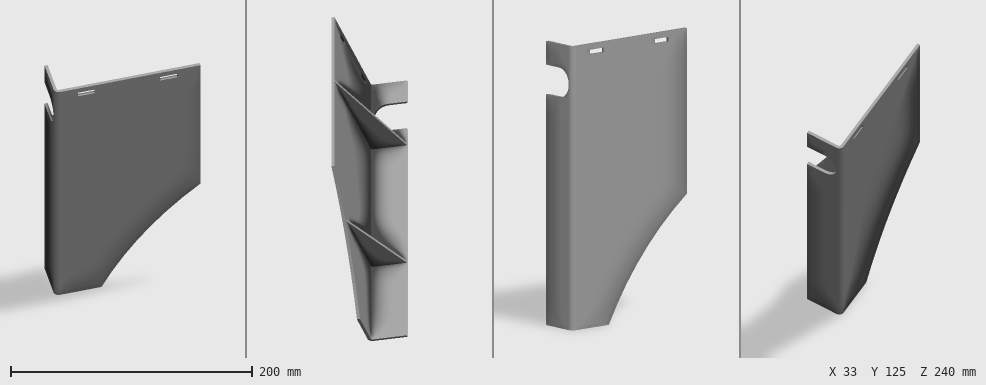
import cadquery as cq

width = 33.0
depth = 125.0
height = 240.0

thickness = 2.6
inner_bend_radius = 1.7
outer_bend_radius = thickness + inner_bend_radius
plate_face = width - thickness

bottom_length = 40.0
rear_edge_bottom = 99.8
curve_mid_y = 87.0
curve_mid_z = 66.0

notch_radius = 12.5
notch_center_z = 207.5
notch_end_x = width - outer_bend_radius

slot_length = 15.0
slot_height = 4.0
slot_drop = 7.0
slot_centers_y = (27.0, 98.0)

rib_thickness = 2.0
upper_rib_z = 180.0
upper_rib_end_y = depth
lower_rib_z = 69.4
lower_rib_end_y = 85.2


def make_bent_sheet():
    """L-shaped section with a rounded bend, extruded over the full height."""
    section = (
        cq.Workplane("XY")
        .lineTo(width - outer_bend_radius, 0)
        .radiusArc((width, outer_bend_radius), -outer_bend_radius)
        .lineTo(width, depth)
        .lineTo(plate_face, depth)
        .lineTo(plate_face, outer_bend_radius)
        .radiusArc((width - outer_bend_radius, thickness), inner_bend_radius)
        .lineTo(0, thickness)
        .close()
    )
    return section.extrude(height)


def make_corner_cut():
    """Region outside the curved lower rear edge."""
    return (
        cq.Workplane("YZ")
        .moveTo(bottom_length, 0)
        .threePointArc((curve_mid_y, curve_mid_z), (depth, rear_edge_bottom))
        .lineTo(depth, 0)
        .close()
        .extrude(width)
    )


def make_flange_notch():
    """Notch open to the free edge of the flange, with a round inner end."""
    arc_center_x = notch_end_x - notch_radius
    return (
        cq.Workplane("XZ")
        .moveTo(0, notch_center_z - notch_radius)
        .lineTo(arc_center_x, notch_center_z - notch_radius)
        .threePointArc(
            (notch_end_x, notch_center_z),
            (arc_center_x, notch_center_z + notch_radius),
        )
        .lineTo(0, notch_center_z + notch_radius)
        .close()
        .extrude(-thickness)
    )


def make_mounting_slot(center_y):
    """Rectangular opening through the side plate."""
    return cq.Workplane("XY").box(thickness, slot_length, slot_height).translate(
        (width - thickness / 2, center_y, height - slot_drop)
    )


def make_rib(center_z, end_y):
    """Triangular web joining the flange and plate, filling the inside of the bend."""
    return (
        cq.Workplane("XY", origin=(0, 0, center_z - rib_thickness / 2))
        .moveTo(0, thickness)
        .lineTo(width - outer_bend_radius, thickness)
        .radiusArc((plate_face, outer_bend_radius), -inner_bend_radius)
        .lineTo(plate_face, end_y)
        .close()
        .extrude(rib_thickness)
    )


result = make_bent_sheet().cut(make_corner_cut()).cut(make_flange_notch())
for slot_y in slot_centers_y:
    result = result.cut(make_mounting_slot(slot_y))
for rib_z, rib_end_y in ((upper_rib_z, upper_rib_end_y), (lower_rib_z, lower_rib_end_y)):
    result = result.union(make_rib(rib_z, rib_end_y))